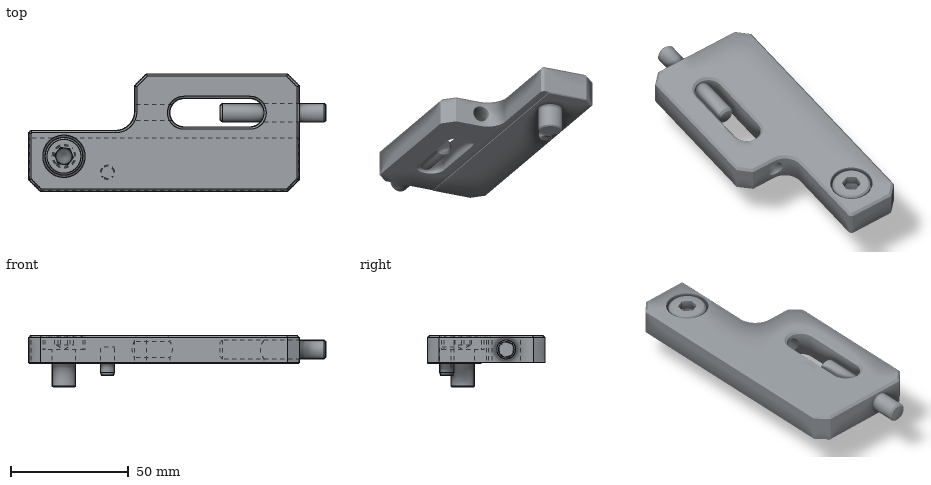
import cadquery as cq
import math

plate_length = 115.0
plate_width = 50.0
plate_thickness = 12.0
arm_length = 45.0
arm_width = 26.0
corner_cut = 5.0
arm_corner_cut = 1.0
inner_fillet = 8.0
top_chamfer = 1.0
bottom_chamfer = 0.4
relief_depth = 0.4
relief_start_y = 22.7

axis_y = 33.5
axis_z = plate_thickness / 2
slot_length = 40.0
slot_width = 12.0
slot_center_x = 80.0
slot_chamfer = 1.0
tap_drill_diameter = 6.8
stud_diameter = 8.0
stud_length = 45.0
stud_end_x = 126.3
stud_tip_chamfer = 1.0
stud_tail_chamfer = 0.7

screw_x = 15.0
screw_y = 15.0
screw_diameter = 10.0
screw_length = 16.0
head_diameter = 16.0
head_height = 6.0
head_chamfer = 0.8
screw_tip_chamfer = 0.5
counterbore_diameter = 18.0
socket_across_flats = 7.0
socket_depth = 4.0
socket_turn = 8.0
socket_cone_angle = 30.0

dowel_x = 33.5
dowel_y = 8.2
dowel_diameter = 6.0
dowel_projection = 5.0
dowel_embedded = 7.0
dowel_lead_length = 1.2
dowel_lead_inset = 0.4


def cylinder_z(x, y, bottom, diameter, height):
    """Cylinder along +Z standing at height bottom."""
    return cq.Workplane("XY", origin=(x, y, bottom)).circle(diameter / 2).extrude(height)


def cylinder_x(start_x, end_x, diameter):
    """Cylinder along X on the slot axis."""
    return (
        cq.Workplane("YZ", origin=(start_x, axis_y, axis_z))
        .circle(diameter / 2)
        .extrude(end_x - start_x)
    )


def make_plate_blank():
    """Chamfered outline with the relieved strip along the +Y side of the underside."""
    blank = (
        cq.Workplane("XY")
        .moveTo(corner_cut, 0)
        .lineTo(plate_length - corner_cut, 0)
        .lineTo(plate_length, corner_cut)
        .lineTo(plate_length, plate_width - corner_cut)
        .lineTo(plate_length - corner_cut, plate_width)
        .lineTo(arm_length + corner_cut, plate_width)
        .lineTo(arm_length, plate_width - corner_cut)
        .lineTo(arm_length, arm_width + inner_fillet)
        .radiusArc((arm_length - inner_fillet, arm_width), inner_fillet)
        .lineTo(arm_corner_cut, arm_width)
        .lineTo(0, arm_width - arm_corner_cut)
        .lineTo(0, corner_cut)
        .close()
        .extrude(plate_thickness)
    )
    blank = blank.faces(">Z").chamfer(top_chamfer)
    relief = cq.Workplane("XY", origin=(0, relief_start_y, 0)).box(
        plate_length, plate_width - relief_start_y, relief_depth, centered=False
    )
    return blank.faces("<Z").chamfer(bottom_chamfer).cut(relief)


def cut_slot(plate):
    """Through slot with a chamfered upper rim."""
    slot = (
        cq.Workplane("XY", origin=(slot_center_x, axis_y, 0))
        .slot2D(slot_length, slot_width)
        .extrude(plate_thickness)
    )
    rim = (
        cq.Workplane("XY", origin=(slot_center_x, axis_y, plate_thickness))
        .slot2D(slot_length + 2 * slot_chamfer, slot_width + 2 * slot_chamfer)
        .extrude(-slot_chamfer, taper=45)
    )
    return plate.cut(slot).cut(rim)


def make_plate():
    plate = cut_slot(make_plate_blank())
    plate = plate.cut(cylinder_x(arm_length - inner_fillet, slot_center_x, tap_drill_diameter))
    plate = plate.cut(cylinder_x(slot_center_x, plate_length, stud_diameter))
    plate = plate.cut(cylinder_z(screw_x, screw_y, 0, screw_diameter, plate_thickness))
    counterbore_floor = plate_thickness - head_height
    plate = plate.cut(
        cylinder_z(screw_x, screw_y, counterbore_floor, counterbore_diameter, head_height)
    )
    return plate.cut(cylinder_z(dowel_x, dowel_y, 0, dowel_diameter, dowel_embedded))


def make_screw():
    """Cap screw with a hexagon socket that ends in a shallow cone."""
    head_bottom = plate_thickness - head_height
    shank = cylinder_z(
        screw_x, screw_y, head_bottom - screw_length, screw_diameter, screw_length
    )
    shank = shank.faces("<Z").chamfer(screw_tip_chamfer)
    head = cylinder_z(screw_x, screw_y, head_bottom, head_diameter, head_height)
    head = head.faces(">Z").chamfer(head_chamfer)

    socket_corners = socket_across_flats / math.cos(math.radians(30))
    socket = (
        cq.Workplane("XY", origin=(screw_x, screw_y, plate_thickness))
        .transformed(rotate=(0, 0, -socket_turn))
        .polygon(6, socket_corners)
        .extrude(-socket_depth)
    )
    cone_radius = socket_across_flats / 2
    cone = cq.Solid.makeCone(
        cone_radius,
        0,
        cone_radius * math.tan(math.radians(socket_cone_angle)),
        pnt=cq.Vector(screw_x, screw_y, plate_thickness - socket_depth),
        dir=cq.Vector(0, 0, -1),
    )
    return shank.union(head).cut(socket).cut(cq.Workplane(cone))


def make_stud():
    """Stud that passes through the +X wall into the slot."""
    stud = cylinder_x(stud_end_x - stud_length, stud_end_x, stud_diameter)
    return stud.faces("<X").chamfer(stud_tip_chamfer).faces(">X").chamfer(stud_tail_chamfer)


def make_dowel():
    """Dowel pin with a slender tapered lead at its lower end."""
    dowel = cylinder_z(
        dowel_x, dowel_y, -dowel_projection, dowel_diameter, dowel_projection + dowel_embedded
    )
    return dowel.faces("<Z").edges().chamfer(dowel_lead_length, dowel_lead_inset)


plate = make_plate()
screw = make_screw()
stud = make_stud()
dowel = make_dowel()

result = cq.Compound.makeCompound([plate.val(), screw.val(), stud.val(), dowel.val()])